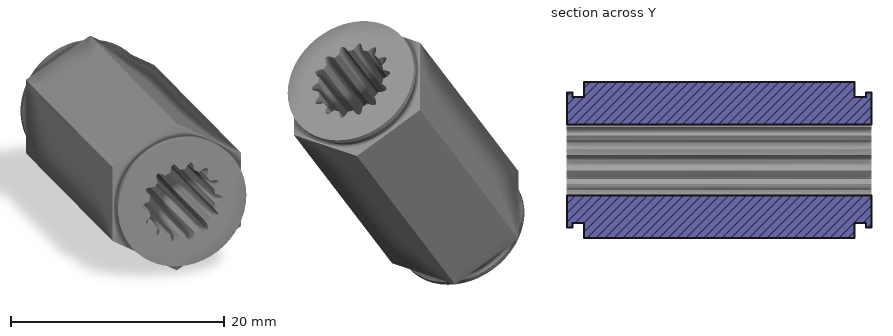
import cadquery as cq
import math

across_flats = 12.7
across_corners = across_flats / math.cos(math.radians(30))
body_length = 25.4

overall_length = 28.57
flange_thickness = 0.53
flange_diameter = across_flats
neck_diameter = 11.9
neck_length = (overall_length - body_length) / 2 - flange_thickness

spline_count = 14
minor_radius = 3.3
major_radius = 3.97
root_width = 0.90
flank_width = 0.66
flank_distance = 3.61


def make_body():
    hexagon = cq.Workplane("YZ").polygon(6, across_corners)
    return hexagon.extrude(body_length / 2, both=True).rotate((0, 0, 0), (1, 0, 0), 90)


def make_end(side):
    """Neck and flange on the +X (side = 1) or -X (side = -1) end of the body."""
    neck = (
        cq.Workplane("YZ", origin=(side * body_length / 2, 0, 0))
        .circle(neck_diameter / 2)
        .extrude(side * neck_length)
    )
    flange = (
        cq.Workplane("YZ", origin=(side * overall_length / 2, 0, 0))
        .circle(flange_diameter / 2)
        .extrude(-side * flange_thickness)
    )
    return neck.union(flange)


def at_angle(radial, sideways, angle):
    """Point given along and across a direction at the given angle from the Y axis."""
    return (
        radial * math.cos(angle) - sideways * math.sin(angle),
        radial * math.sin(angle) + sideways * math.cos(angle),
    )


def make_splined_bore():
    """Bore with evenly spaced round-tipped spaces, the first one pointing along +Y."""
    pitch = 2 * math.pi / spline_count
    half_root = root_width / 2
    half_flank = flank_width / 2
    root_distance = math.sqrt(minor_radius**2 - half_root**2)

    outline = cq.Workplane("YZ", origin=(-overall_length / 2, 0, 0))
    outline = outline.moveTo(*at_angle(root_distance, -half_root, 0))
    for index in range(spline_count):
        angle = index * pitch
        outline = outline.spline(
            [
                at_angle(flank_distance, -half_flank, angle),
                at_angle(major_radius, 0, angle),
                at_angle(flank_distance, half_flank, angle),
                at_angle(root_distance, half_root, angle),
            ],
            includeCurrent=True,
        )
        outline = outline.threePointArc(
            at_angle(minor_radius, 0, angle + pitch / 2),
            at_angle(root_distance, -half_root, angle + pitch),
        )
    return outline.close().extrude(overall_length)


result = make_body().union(make_end(1)).union(make_end(-1)).cut(make_splined_bore())